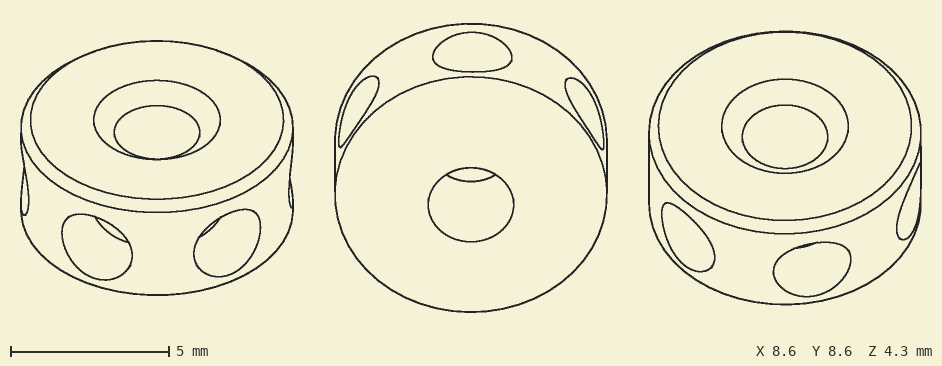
import cadquery as cq
import math

height = 4.3
outer_radius = 4.3
top_chamfer = 0.3
bottom_face_radius = 2.0
inner_cone_radius = 3.0
inner_cone_angle = 10.0
outer_cone_angle = 20.0

recess_radius = 2.0
recess_depth = 0.5
recess_fillet = 0.2
bore_radius = 1.35

rim_hole_count = 6
rim_hole_radius = 1.25
rim_hole_height = 2.2
rim_hole_floor_distance = 2.2


def cone_rise(start_radius, end_radius, angle):
    """Height gained by a cone that slopes at the given angle in degrees."""
    return (end_radius - start_radius) * math.tan(math.radians(angle))


def make_body():
    """Turned body with a two-step cone below and a chamfer at the top edge."""
    inner_cone_top = cone_rise(bottom_face_radius, inner_cone_radius, inner_cone_angle)
    outer_cone_top = inner_cone_top + cone_rise(inner_cone_radius, outer_radius, outer_cone_angle)
    profile = (
        cq.Workplane("XZ")
        .lineTo(bottom_face_radius, 0)
        .lineTo(inner_cone_radius, inner_cone_top)
        .lineTo(outer_radius, outer_cone_top)
        .lineTo(outer_radius, height - top_chamfer)
        .lineTo(outer_radius - top_chamfer, height)
        .lineTo(0, height)
        .close()
    )
    return profile.revolve(360, (0, 0, 0), (0, 1, 0))


def make_centre_hole():
    """Cutter for the filleted recess and the through bore."""
    recess_floor = height - recess_depth
    recess = (
        cq.Workplane("XY", origin=(0, 0, recess_floor))
        .circle(recess_radius)
        .extrude(recess_depth)
        .faces("<Z")
        .edges()
        .fillet(recess_fillet)
    )
    bore = cq.Workplane("XY").circle(bore_radius).extrude(height)
    return recess.union(bore)


def make_rim_hole(angle):
    """Cutter for one flat-bottomed radial hole at the given angle from +X."""
    hole = (
        cq.Workplane("YZ", origin=(rim_hole_floor_distance, 0, rim_hole_height))
        .circle(rim_hole_radius)
        .extrude(outer_radius - rim_hole_floor_distance)
    )
    return hole.rotate((0, 0, 0), (0, 0, 1), angle)


result = make_body().cut(make_centre_hole())
for index in range(rim_hole_count):
    result = result.cut(make_rim_hole(index * 360 / rim_hole_count))